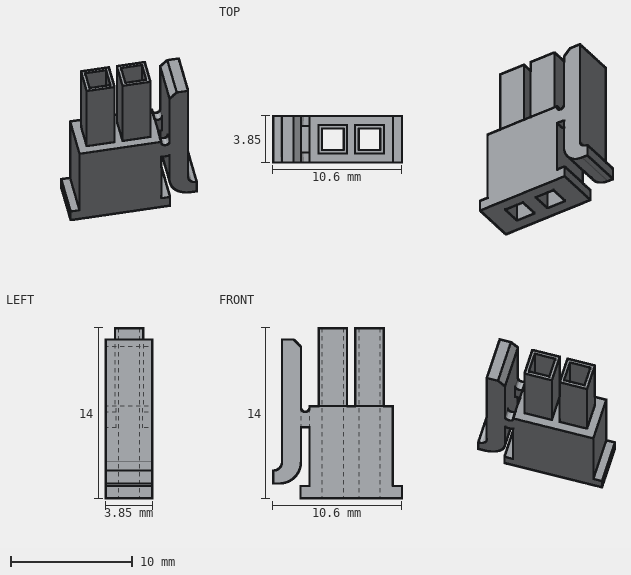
import cadquery as cq

depth = 3.85
height = 14.0

total_length = 10.6
flange_left = 2.24
flange_height = 1.02
flange_lip = 0.74
body_left = flange_left + flange_lip
body_right = total_length - flange_lip
body_top = 7.59

arm_left = 0.73
arm_right = 2.3
arm_top = 13.08
tip_chamfer = 0.6
foot_bottom = 1.22
foot_inner_radius = arm_left
foot_inner_z = 2.3
foot_outer_radius = 1.78

bridge_bottom = 5.84
groove_radius = (body_left - arm_right) / 2
groove_bottom = 7.13
bridge_window = 2.18

tube_size = 2.35
tube_opening = 1.75
tube_pitch = 3.01
tube_center_x = (body_left + body_right) / 2
tube_positions = [tube_center_x - tube_pitch / 2, tube_center_x + tube_pitch / 2]


def box(x_min, x_max, y_size, z_min, z_max):
    """Block centred across the depth of the part."""
    return (
        cq.Workplane("XY", origin=((x_min + x_max) / 2, depth / 2, z_min))
        .rect(x_max - x_min, y_size)
        .extrude(z_max - z_min)
    )


def make_housing():
    flange = box(flange_left, total_length, depth, 0, flange_height)
    body = box(body_left, body_right, depth, 0, body_top)
    return flange.union(body)


def make_latch_arm():
    """Upright arm with a chamfered tip and a foot curling outwards."""
    half_chord = foot_inner_radius * 0.5**0.5
    outer_center_x = arm_right - foot_outer_radius
    outer_center_z = foot_bottom + foot_outer_radius
    outer_half_chord = foot_outer_radius * 0.5**0.5
    return (
        cq.Workplane("XZ", origin=(0, depth, 0))
        .moveTo(0, foot_bottom)
        .lineTo(outer_center_x, foot_bottom)
        .threePointArc(
            (outer_center_x + outer_half_chord, outer_center_z - outer_half_chord),
            (arm_right, outer_center_z),
        )
        .lineTo(arm_right, arm_top - tip_chamfer)
        .lineTo(arm_right - tip_chamfer, arm_top)
        .lineTo(arm_left, arm_top)
        .lineTo(arm_left, foot_inner_z + foot_inner_radius)
        .threePointArc(
            (half_chord, foot_inner_z + foot_inner_radius - half_chord),
            (0, foot_inner_z),
        )
        .close()
        .extrude(depth)
    )


def make_bridge():
    """Grooved bridge, open in the middle so that two webs remain."""
    bridge = box(arm_right, body_left, depth, bridge_bottom, body_top)
    slot_center_x = (arm_right + body_left) / 2
    groove_center_z = groove_bottom + groove_radius
    round_bottom = (
        cq.Workplane("XZ", origin=(slot_center_x, depth, groove_center_z))
        .circle(groove_radius)
        .extrude(depth)
    )
    straight_sides = box(arm_right, body_left, depth, groove_center_z, body_top)
    window = box(arm_right, body_left, bridge_window, bridge_bottom, body_top)
    return bridge.cut(round_bottom).cut(straight_sides).cut(window)


def make_square_posts(size, z_min):
    """Square posts at every terminal position, reaching the top of the part."""
    posts = cq.Workplane("XY")
    for x in tube_positions:
        posts = posts.union(box(x - size / 2, x + size / 2, size, z_min, height))
    return posts


result = (
    make_housing()
    .union(make_latch_arm())
    .union(make_bridge())
    .union(make_square_posts(tube_size, body_top))
    .cut(make_square_posts(tube_opening, 0))
)